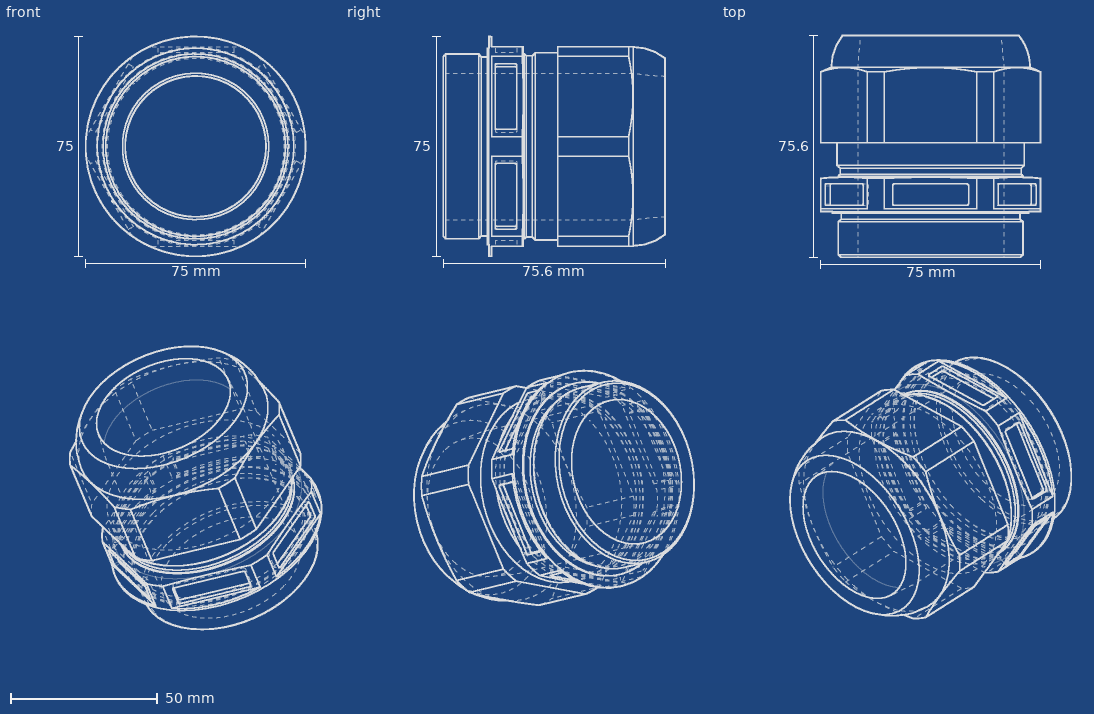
import cadquery as cq
import math


length = 75.6
corner_radius = 37.5
flat_distance = 34.0

bore_radius = 24.95
bore_mouth_radius = 24.0

thread_radius = 31.5
thread_chamfer = 0.9
thread_top = 12.2
undercut_radius = 30.55
undercut_bottom = 12.9

seat_radius = 33.5
seat_bottom = 15.05
washer_bottom = 15.6
washer_top = 16.5
lower_hex_corner_top = 26.9
lower_hex_top = 27.3

collar_radius = 31.5
collar_top = 27.7
neck_radius = 30.9
neck_bottom = 28.35
body_radius = 32.0
body_chamfer_bottom = 30.4
body_bottom = 31.4

nut_bottom = 39.0
nut_corner_top = 63.2
nut_top = 64.7
dome_base_radius = 33.95
dome_top_radius = 30.1

flat_count = 6
pocket_length = 25.85
pocket_bottom = 17.7
pocket_top = 25.0
pocket_depth = 2.0
pocket_corner_radius = 0.6


def revolve_about_y(profile):
    """Turn a closed radius/height outline about the Y axis."""
    return profile.close().revolve(360, (0, 0, 0), (0, 1, 0))


def rounded_hexagon(bottom, corner_top, top):
    """Hexagonal prism along Y with flats facing +Z and -Z, round corners and a conical top chamfer."""
    across_corners = 2 * flat_distance / math.cos(math.pi / flat_count)
    plane = cq.Workplane("XZ", origin=(0, bottom, 0))
    prism = plane.polygon(flat_count, across_corners).extrude(bottom - top)
    outline = [
        (0, bottom),
        (corner_radius, bottom),
        (corner_radius, corner_top),
        (dome_base_radius, top),
        (0, top),
    ]
    return prism.intersect(revolve_about_y(cq.Workplane("XY").polyline(outline)))


def turned_core():
    """All round outside surfaces between the thread and the cap nut."""
    outline = [
        (0, 0),
        (thread_radius - thread_chamfer, 0),
        (thread_radius, thread_chamfer),
        (thread_radius, thread_top),
        (undercut_radius, undercut_bottom),
        (undercut_radius, seat_bottom),
        (seat_radius, seat_bottom),
        (seat_radius, washer_bottom),
        (corner_radius, washer_bottom),
        (corner_radius, washer_top),
        (collar_radius, washer_top),
        (collar_radius, collar_top),
        (neck_radius, neck_bottom),
        (neck_radius, body_chamfer_bottom),
        (body_radius, body_bottom),
        (body_radius, nut_bottom),
        (0, nut_bottom),
    ]
    return revolve_about_y(cq.Workplane("XY").polyline(outline))


def lower_hexagon():
    """Body hexagon with rounded corners and a marking pocket in each flat."""
    body = rounded_hexagon(washer_top, lower_hex_corner_top, lower_hex_top)
    pocket_height = pocket_top - pocket_bottom
    pocket_middle = (pocket_bottom + pocket_top) / 2
    pocket = (
        cq.Workplane("XY", origin=(0, pocket_middle, flat_distance - pocket_depth))
        .rect(pocket_length, pocket_height)
        .extrude(2 * pocket_depth)
        .edges("|Z")
        .fillet(pocket_corner_radius)
    )
    for index in range(flat_count):
        body = body.cut(pocket.rotate((0, 0, 0), (0, 1, 0), index * 360 / flat_count))
    return body


def dome():
    """Rounded cap end, its arc starting parallel to the axis."""
    inset = dome_base_radius - dome_top_radius
    height = length - nut_top
    arc_radius = (height**2 + inset**2) / (2 * inset)
    arc_centre = dome_base_radius - arc_radius
    half_angle = math.asin(height / arc_radius) / 2
    arc_middle = (
        arc_centre + arc_radius * math.cos(half_angle),
        nut_top + arc_radius * math.sin(half_angle),
    )
    profile = (
        cq.Workplane("XY")
        .moveTo(0, nut_top)
        .lineTo(dome_base_radius, nut_top)
        .threePointArc(arc_middle, (dome_top_radius, length))
        .lineTo(0, length)
    )
    return revolve_about_y(profile)


def bore():
    """Through bore, tapering to a smaller mouth at the domed end."""
    outline = [
        (0, 0),
        (bore_radius, 0),
        (bore_radius, nut_top),
        (bore_mouth_radius, length),
        (0, length),
    ]
    return revolve_about_y(cq.Workplane("XY").polyline(outline))


cap_nut = rounded_hexagon(nut_bottom, nut_corner_top, nut_top)
result = turned_core().union(lower_hexagon()).union(cap_nut).union(dome()).cut(bore())